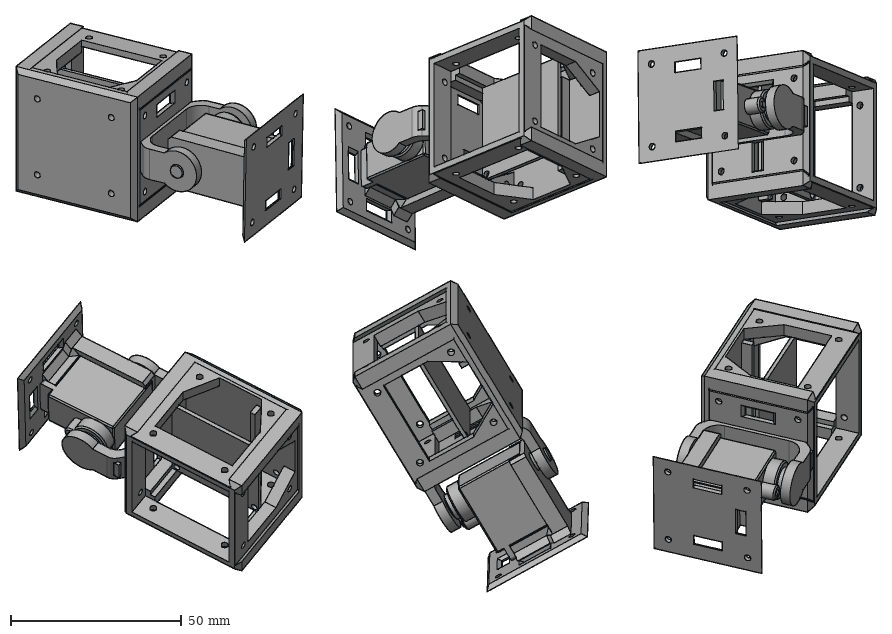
import cadquery as cq
import math


DOVETAIL_DEPTH = 1.4
PLATE_SIDE = 34.1
SCREW_OFFSET = 12.5
SCREW_HOLE_D = 2.0
CABLE_SLOT_LENGTH = 8.95
CABLE_SLOT_WIDTH = 3.2
CABLE_SLOT_BEVEL = 0.95
CABLE_SLOT_OFFSET = 10.45

HOUSING_SIDE = 41.0
HOUSING_FRONT_Y = -18.5
HOUSING_BACK_Y = 17.1
HOUSING_CHAMFER = 1.6
WALL = 2.1
GROOVE_BASE_HALF = 17.4
FRONT_WALL = 3.15
HALF_SIDE = HOUSING_SIDE / 2
GROOVE_FLOOR = HALF_SIDE - DOVETAIL_DEPTH
REAR_CAVITY_HALF = GROOVE_FLOOR - WALL
CAVITY_HALF = 15.15
CAVITY_FRONT_Y = HOUSING_FRONT_Y + FRONT_WALL
GROOVE_END_Y = CAVITY_FRONT_Y - DOVETAIL_DEPTH
WINDOW_HALF = 13.5
WINDOW_BACK_Y = 9.9
WINDOW_BEVEL_Y = -5.1
WINDOW_FRONT_HALF = 7.4
PARTITION_THICKNESS = 1.2
PARTITION_FRONT_Y = -3.0
PARTITION_HOLE_OFFSET = 13.6
RIB_WIDTH = 1.65
RIB_X = -6.4
RIB_BACK_Y = -12.1

HINGE_X = 34.4
ARM_OUTER_Y = 18.0
ARM_THICKNESS = 3.0
ARM_INNER_Y = ARM_OUTER_Y - ARM_THICKNESS
ARM_WIDTH = 10.0
ARM_EYE_D = 13.1
WEB_THICKNESS = 1.2
BEND_RADIUS = 4.0
INNER_BEND_RADIUS = 4.8
BEND_START_X = 25.05
BRACKET_PLATE_SIDE = 33.9
NOTCH_WIDTH = 3.9
NOTCH_BOTTOM_Z = -14.1
STOP_X = 22.15
STOP_LENGTH = 1.8
STOP_HEIGHT = 6.1
STOP_BACK_Y = 17.6
STOP_FRONT_Y = 16.4

PIN_D = 4.0
PIN_HOLE_D = 4.3
PIN_CONE_D = 6.0
PIN_CONE_HEIGHT = 0.95
PIN_END_Y = -18.5

TILT = 1.1
SERVO_LEFT_X = -5.8
SERVO_RIGHT_X = 17.5
SERVO_TOP_Y = 8.95
SERVO_BOTTOM_Y = -12.0
SERVO_WIDTH = 12.25
SERVO_CHAMFER = 0.5
TAB_BOTTOM_Y = 4.6
TAB_THICKNESS = 1.8
TAB_END_X = 21.7
TAB_CORNER_RADIUS = 0.8
GEARBOX_D = 11.8
GEARBOX_TOP_Y = 13.05
SIDE_BOSS_D = 4.7
SIDE_BOSS_X = 6.1
SIDE_BOSS_CAP_D = 2.0
SIDE_BOSS_TOP_Y = 13.8
SIDE_BOSS_CAP_HEIGHT = 0.5

HORN_D = 8.25
HORN_HUB_D = 6.0
HORN_TOP_Y = 14.5

BASE_BOTTOM_Y = -13.6
BASE_TOP_Y = -8.5
BASE_LEFT_X = -5.65
BASE_HALF_HEIGHT = 8.2
BASE_BEVEL = 1.0
FLARE_X = 19.9
MOUNT_INNER_X = 21.9
BRACE_FOOT_Y = -6.45
BRACE_TOP_Y = -7.8
MOUNT_Y = -1.4


def y_cylinder(diameter, start_y, end_y, x=0.0, z=0.0):
    """Cylinder parallel to Y."""
    direction = cq.Vector(0, 1, 0)
    return cq.Workplane(cq.Solid.makeCylinder(
        diameter / 2, end_y - start_y, cq.Vector(x, start_y, z), direction))


def span_box(x0, x1, y0, y1, z0, z1):
    """Box between opposite corners."""
    return cq.Workplane("XY").box(x1 - x0, y1 - y0, z1 - z0, centered=False).translate((x0, y0, z0))


def screw_holes(x0, x1):
    """Four holes parallel to X."""
    return (cq.Workplane("YZ", origin=(x0, 0, 0))
            .rect(2 * SCREW_OFFSET, 2 * SCREW_OFFSET, forConstruction=True).vertices()
            .circle(SCREW_HOLE_D / 2).extrude(x1 - x0))


def cable_slot():
    """The +Z slot of a sliding plate, bevelled on its outer and end edges at the narrow face."""
    centre = (0, CABLE_SLOT_OFFSET)
    slot = (cq.Workplane("YZ").center(*centre)
            .rect(CABLE_SLOT_LENGTH, CABLE_SLOT_WIDTH).extrude(DOVETAIL_DEPTH))
    bevel = (cq.Workplane("YZ").center(*centre)
             .rect(CABLE_SLOT_LENGTH + 2 * CABLE_SLOT_BEVEL, CABLE_SLOT_WIDTH + 2 * CABLE_SLOT_BEVEL)
             .extrude(CABLE_SLOT_BEVEL, taper=45))
    inner_edge_z = CABLE_SLOT_OFFSET - CABLE_SLOT_WIDTH / 2
    outward = span_box(0, DOVETAIL_DEPTH, -PLATE_SIDE / 2, PLATE_SIDE / 2, inner_edge_z, PLATE_SIDE / 2)
    return slot.union(bevel.intersect(outward))


def make_sliding_plate(side, slot_angles):
    """Square dovetail plate centred on the X axis, its narrow face at x = 0 and its wide face at +X."""
    plate = (cq.Workplane("YZ", origin=(DOVETAIL_DEPTH, 0, 0))
             .rect(side, side).extrude(-DOVETAIL_DEPTH, taper=45))
    plate = plate.cut(screw_holes(0, DOVETAIL_DEPTH))
    for angle in slot_angles:
        plate = plate.cut(cable_slot().rotate((0, 0, 0), (1, 0, 0), angle))
    return plate


def side_cut():
    """Groove, window and screw holes of the +X side."""
    past_back = HOUSING_BACK_Y + 2 * DOVETAIL_DEPTH
    groove = (cq.Workplane("YZ", origin=(GROOVE_FLOOR, 0, 0))
              .center((GROOVE_END_Y + past_back) / 2, 0)
              .rect(past_back - GROOVE_END_Y, 2 * GROOVE_BASE_HALF)
              .extrude(DOVETAIL_DEPTH, taper=45))
    window = (cq.Workplane("YZ", origin=(CAVITY_HALF, 0, 0))
              .polyline([(WINDOW_BACK_Y, -WINDOW_HALF), (WINDOW_BACK_Y, WINDOW_HALF),
                         (WINDOW_BEVEL_Y, WINDOW_HALF), (CAVITY_FRONT_Y, WINDOW_FRONT_HALF),
                         (CAVITY_FRONT_Y, -WINDOW_FRONT_HALF), (WINDOW_BEVEL_Y, -WINDOW_HALF)])
              .close().extrude(GROOVE_FLOOR - CAVITY_HALF))
    return groove.union(window).union(screw_holes(CAVITY_HALF, GROOVE_FLOOR))


def make_housing():
    body = span_box(-HALF_SIDE, HALF_SIDE, HOUSING_FRONT_Y, HOUSING_BACK_Y, -HALF_SIDE, HALF_SIDE)
    body = body.faces("<Y or >Y").edges().chamfer(HOUSING_CHAMFER)
    body = body.cut(span_box(-CAVITY_HALF, CAVITY_HALF, CAVITY_FRONT_Y, HOUSING_BACK_Y,
                             -CAVITY_HALF, CAVITY_HALF))
    body = body.cut(span_box(-REAR_CAVITY_HALF, REAR_CAVITY_HALF, WINDOW_BACK_Y, HOUSING_BACK_Y,
                             -REAR_CAVITY_HALF, REAR_CAVITY_HALF))
    for angle in (0, 90, 180, 270):
        body = body.cut(side_cut().rotate((0, 0, 0), (0, 1, 0), angle))

    partition = span_box(-CAVITY_HALF, CAVITY_HALF, PARTITION_FRONT_Y,
                         PARTITION_FRONT_Y + PARTITION_THICKNESS, -CAVITY_HALF, CAVITY_HALF)
    rib = span_box(RIB_X - RIB_WIDTH / 2, RIB_X + RIB_WIDTH / 2, CAVITY_FRONT_Y, RIB_BACK_Y,
                   -CAVITY_HALF, CAVITY_HALF)
    body = body.union(partition).union(rib)

    for x in (-1, 1):
        for z in (-1, 1):
            body = body.cut(y_cylinder(SCREW_HOLE_D, HOUSING_FRONT_Y, CAVITY_FRONT_Y,
                                       x * SCREW_OFFSET, z * SCREW_OFFSET))
        body = body.cut(y_cylinder(SCREW_HOLE_D, PARTITION_FRONT_Y,
                                   PARTITION_FRONT_Y + PARTITION_THICKNESS,
                                   x * PARTITION_HOLE_OFFSET, -PARTITION_HOLE_OFFSET))
    return body


def make_fork():
    """Bent strip with its two arms and round arm ends."""
    diagonal = math.sqrt(0.5)
    bend_y = ARM_OUTER_Y - BEND_RADIUS
    bend_end = (BEND_START_X - BEND_RADIUS * diagonal, bend_y + BEND_RADIUS * diagonal)
    bend_mid = (BEND_START_X - BEND_RADIUS * math.sin(math.pi / 8),
                bend_y + BEND_RADIUS * math.cos(math.pi / 8))
    web_end_y = bend_end[1] - (bend_end[0] - HALF_SIDE)
    half_profile = (cq.Workplane("XY", origin=(0, 0, -ARM_WIDTH / 2))
                    .moveTo(HALF_SIDE, 0).lineTo(HALF_SIDE, web_end_y).lineTo(*bend_end)
                    .threePointArc(bend_mid, (BEND_START_X, ARM_OUTER_Y))
                    .lineTo(HINGE_X, ARM_OUTER_Y).lineTo(HINGE_X, ARM_INNER_Y)
                    .lineTo(HALF_SIDE + WEB_THICKNESS + INNER_BEND_RADIUS, ARM_INNER_Y)
                    .radiusArc((HALF_SIDE + WEB_THICKNESS, ARM_INNER_Y - INNER_BEND_RADIUS),
                               -INNER_BEND_RADIUS)
                    .lineTo(HALF_SIDE + WEB_THICKNESS, 0).close().extrude(ARM_WIDTH))
    half_fork = half_profile.union(y_cylinder(ARM_EYE_D, ARM_INNER_Y, ARM_OUTER_Y, HINGE_X))
    return half_fork.union(half_fork.mirror("XZ"))


def make_bracket():
    plate = make_sliding_plate(BRACKET_PLATE_SIDE, [0]).rotate((0, 0, 0), (0, 0, 1), 180)
    plate = plate.translate((HALF_SIDE, 0, 0))
    plate = plate.cut(span_box(GROOVE_FLOOR, HALF_SIDE, -NOTCH_WIDTH / 2, NOTCH_WIDTH / 2,
                               NOTCH_BOTTOM_Z, -ARM_WIDTH / 2))
    stop = span_box(STOP_X - STOP_LENGTH / 2, STOP_X + STOP_LENGTH / 2, STOP_FRONT_Y, STOP_BACK_Y,
                    -STOP_HEIGHT / 2, STOP_HEIGHT / 2)
    pin_hole = y_cylinder(PIN_HOLE_D, -ARM_OUTER_Y, -ARM_INNER_Y, HINGE_X)
    return plate.union(make_fork()).union(stop).cut(pin_hole)


def place_on_hinge(body):
    """Tilt a body about the Y axis and move it to the hinge."""
    return body.rotate((0, 0, 0), (0, 1, 0), TILT).translate((HINGE_X, 0, 0))


def make_servo():
    half_width = SERVO_WIDTH / 2
    case = span_box(SERVO_LEFT_X, SERVO_RIGHT_X, SERVO_BOTTOM_Y, SERVO_TOP_Y, -half_width, half_width)
    case = case.edges("|Y").chamfer(SERVO_CHAMFER).faces(">Y").edges().chamfer(SERVO_CHAMFER)
    tab = span_box(SERVO_RIGHT_X - SERVO_CHAMFER, TAB_END_X, TAB_BOTTOM_Y,
                   TAB_BOTTOM_Y + TAB_THICKNESS, -half_width, half_width)
    tab = tab.edges("|Y and >X").fillet(TAB_CORNER_RADIUS)
    gearbox = y_cylinder(GEARBOX_D, SERVO_TOP_Y, GEARBOX_TOP_Y).faces(">Y").edges().chamfer(SERVO_CHAMFER)
    side_boss = y_cylinder(SIDE_BOSS_D, SERVO_TOP_Y, SIDE_BOSS_TOP_Y, SIDE_BOSS_X)
    side_boss = side_boss.faces(">Y").edges().chamfer(SERVO_CHAMFER)
    cap = y_cylinder(SIDE_BOSS_CAP_D, SIDE_BOSS_TOP_Y, SIDE_BOSS_TOP_Y + SIDE_BOSS_CAP_HEIGHT, SIDE_BOSS_X)
    horn_room = y_cylinder(HORN_D, GEARBOX_TOP_Y, HORN_TOP_Y)
    return case.union(tab).union(gearbox).union(side_boss).union(cap).cut(horn_room)


def make_horn():
    disc = y_cylinder(HORN_D, GEARBOX_TOP_Y, HORN_TOP_Y)
    return disc.union(y_cylinder(HORN_HUB_D, HORN_TOP_Y, ARM_INNER_Y))


def flared_block(left_x, bevel, half_height, y0, y1):
    """Block, bevelled at its left end if bevel is not 0, flaring at 45 degrees into the sliding plate."""
    flare_half = half_height + MOUNT_INNER_X - FLARE_X
    upper = [(left_x + bevel, half_height), (FLARE_X, half_height), (MOUNT_INNER_X, flare_half)]
    if bevel > 0:
        upper.insert(0, (left_x, half_height - bevel))
    lower = [(x, -z) for x, z in reversed(upper)]
    return cq.Workplane("XZ", origin=(0, y1, 0)).polyline(upper + lower).close().extrude(y1 - y0)


def make_corner_brace():
    """Sloping brace from the tab seat up to the upper edge of the base, ending in the flare."""
    seat_z = SERVO_WIDTH / 2
    rise = BASE_HALF_HEIGHT - seat_z
    section = [(BASE_TOP_Y, seat_z), (BRACE_FOOT_Y, seat_z), (BRACE_TOP_Y, BASE_HALF_HEIGHT),
               (BASE_TOP_Y, BASE_HALF_HEIGHT)]
    flare_run = MOUNT_INNER_X - FLARE_X
    flare_wire = cq.Wire.makePolygon([cq.Vector(FLARE_X, y, z) for y, z in section], close=True)
    flare_part = cq.Solid.extrudeLinear(flare_wire, [], cq.Vector(flare_run, 0, flare_run))
    slope = math.degrees(math.atan2(BRACE_FOOT_Y - BRACE_TOP_Y, rise))
    flat_part = (cq.Workplane("XY", origin=(0, 0, seat_z))
                 .polyline([(SERVO_RIGHT_X, BASE_TOP_Y), (FLARE_X, BRACE_FOOT_Y),
                            (MOUNT_INNER_X, BRACE_FOOT_Y), (MOUNT_INNER_X, BASE_BOTTOM_Y),
                            (SERVO_RIGHT_X, BASE_BOTTOM_Y)])
                 .close().extrude(rise, taper=slope))
    return flat_part.union(cq.Workplane(flare_part))


def make_holder():
    base = flared_block(BASE_LEFT_X, BASE_BEVEL, BASE_HALF_HEIGHT, BASE_BOTTOM_Y, BASE_TOP_Y)
    tab_seat = flared_block(SERVO_RIGHT_X, 0, SERVO_WIDTH / 2, BASE_TOP_Y, TAB_BOTTOM_Y)
    brace = make_corner_brace()
    plate = make_sliding_plate(PLATE_SIDE, [0, 180, 270]).translate((MOUNT_INNER_X, MOUNT_Y, 0))
    cone_end_y = BASE_BOTTOM_Y - PIN_CONE_HEIGHT
    cone = cq.Workplane(cq.Solid.makeCone(PIN_D / 2, PIN_CONE_D / 2, PIN_CONE_HEIGHT,
                                          cq.Vector(0, cone_end_y, 0), cq.Vector(0, 1, 0)))
    pin = y_cylinder(PIN_D, PIN_END_Y, cone_end_y)
    return base.union(tab_seat).union(plate).union(brace).union(brace.mirror("XY")).union(cone).union(pin)


servo_body = make_servo()
housing = make_housing()
bracket = make_bracket()
servo = place_on_hinge(servo_body)
horn = place_on_hinge(make_horn())
holder = place_on_hinge(make_holder().cut(servo_body))

result = cq.Compound.makeCompound(
    [housing.val(), bracket.val(), servo.val(), horn.val(), holder.val()]
)